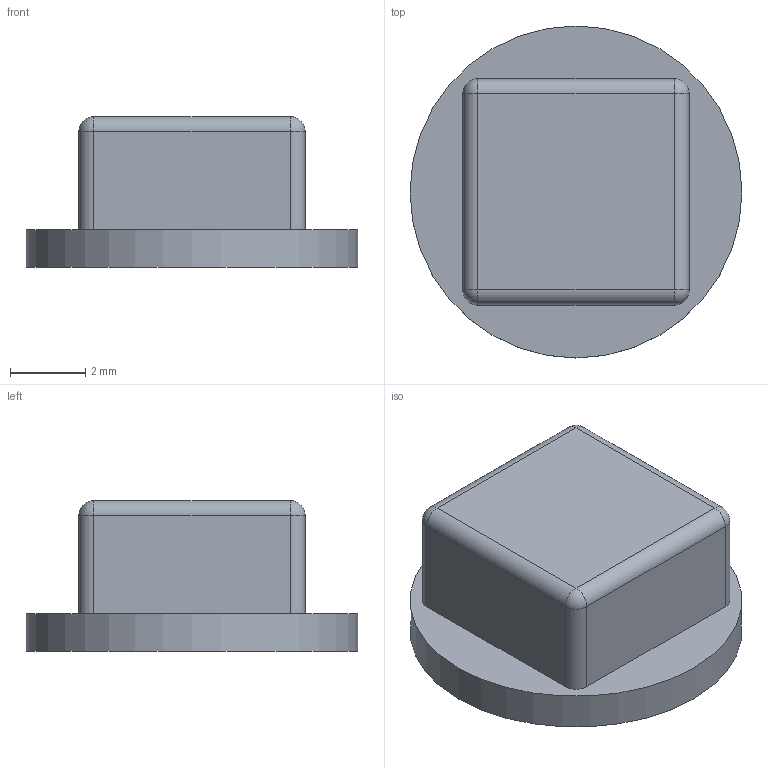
import cadquery as cq

flange_diameter = 8.8
flange_thickness = 1.0

overall_height = 4.0
cap_width = 6.0
cap_height = overall_height - flange_thickness
edge_radius = 0.4


def make_flange():
    """Plain disc resting on the XY plane."""
    return cq.Workplane("XY").circle(flange_diameter / 2).extrude(flange_thickness)


def make_cap():
    """Square block with rounded upright edges and a rounded top rim."""
    block = (
        cq.Workplane("XY")
        .workplane(offset=flange_thickness)
        .rect(cap_width, cap_width)
        .extrude(cap_height)
    )
    return block.edges("|Z or >Z").fillet(edge_radius)


result = make_flange().union(make_cap())